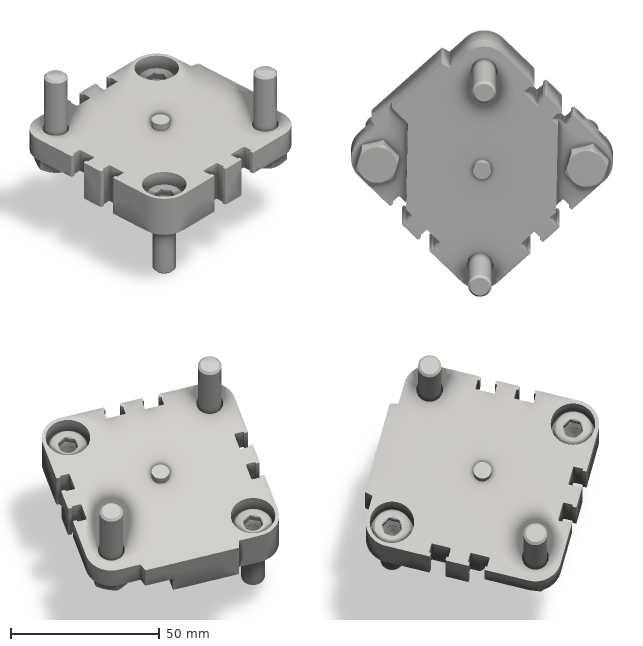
import cadquery as cq
import math

plate_width = 67.6
plate_length = 70.5
plate_thickness = 14.5
corner_radius = 8.8
tab_end_width = 33.1
tab_side_angle = 15.0
tab_fillet = 0.35

half_width = plate_width / 2
tab_height = plate_length - plate_width
tab_base_width = tab_end_width + 2 * tab_height * math.tan(math.radians(tab_side_angle))

slot_offset = 6.8
slot_mouth_width = 5.4
slot_inner_width = 6.8
slot_lip = 1.4
slot_depth = 4.8
slot_corner_radius = 0.35
slotted_edge_turns = (0, 90, -90)

pin_diameter = 6.0
pin_stand_out = 2.75

fastener_offset = half_width - corner_radius
shank_diameter = 8.0
shank_chamfer = 0.8
clearance_diameter = 9.0
head_diameter = 13.0
head_ring_diameter = 11.6

bolt_positions = [(-fastener_offset, -fastener_offset), (fastener_offset, fastener_offset)]
bolt_length = 29.95
bolt_head_height = 5.3
washer_face_height = 0.55
head_chamfer_angle = 30.0
pocket_height = 6.05

screw_positions = [(-fastener_offset, fastener_offset), (fastener_offset, -fastener_offset)]
screw_length = 25.0
screw_head_height = 5.0
screw_head_chamfer = (head_diameter - head_ring_diameter) / 2
screw_seat_height = 5.6
counterbore_diameter = 15.0
socket_width = 6.0
socket_depth = 2.5
socket_tip_diameter = 4.0
socket_tip_step = 0.2
socket_cone_angle = 45.0


def hexagon_corner_diameter(width_across_flats):
    return width_across_flats / math.cos(math.pi / 6)


def hex_prism(width_across_flats, height):
    """Hexagonal prism standing on z = 0, with two corners on the Y axis."""
    prism = cq.Workplane("XY").polygon(6, hexagon_corner_diameter(width_across_flats)).extrude(height)
    return prism.rotate((0, 0, 0), (0, 0, 1), 90)


def revolved(points):
    """Turn an (r, z) outline about the Z axis."""
    return cq.Workplane("XZ").polyline(points).close().revolve(360, (0, 0, 0), (0, 1, 0))


def cone_drop(radius):
    """Height of a socket cone with the given base radius."""
    return radius * math.tan(math.radians(socket_cone_angle))


def make_blank():
    body = cq.Workplane("XY").rect(plate_width, plate_width).extrude(plate_thickness)
    body = body.edges("|Z").fillet(corner_radius)
    tab = (
        cq.Workplane("XY")
        .polyline([
            (-tab_base_width / 2, half_width),
            (-tab_end_width / 2, half_width + tab_height),
            (tab_end_width / 2, half_width + tab_height),
            (tab_base_width / 2, half_width),
            (tab_base_width / 2, 0),
            (-tab_base_width / 2, 0),
        ])
        .close()
        .extrude(plate_thickness)
    )
    tab_side_edges = cq.selectors.BoxSelector(
        (-tab_base_width, half_width - tab_fillet, -plate_thickness),
        (tab_base_width, plate_length, 2 * plate_thickness),
    )
    return body.union(tab).edges("|Z").edges(tab_side_edges).fillet(tab_fillet)


def cut_slots(body):
    """Cut the T-slots, shaped on the -Y edge and turned to the others."""
    half_mouth = slot_mouth_width / 2
    radius = slot_corner_radius
    mouth = (
        cq.Workplane("XY")
        .moveTo(-half_mouth - radius, 0)
        .radiusArc((-half_mouth, radius), -radius)
        .lineTo(-half_mouth, slot_depth / 2)
        .lineTo(half_mouth, slot_depth / 2)
        .lineTo(half_mouth, radius)
        .radiusArc((half_mouth + radius, 0), -radius)
        .close()
        .extrude(plate_thickness)
    )
    channel = (
        cq.Workplane("XY", origin=(0, slot_lip, 0))
        .box(slot_inner_width, slot_depth - slot_lip, plate_thickness, centered=(True, False, False))
        .edges("|Z and >Y")
        .fillet(radius)
    )
    slot = mouth.union(channel)
    for turn in slotted_edge_turns:
        for x in (-slot_offset, slot_offset):
            placed = slot.translate((x, -half_width, 0))
            body = body.cut(placed.rotate((0, 0, 0), (0, 0, 1), turn))
    return body


def cut_bolt_seats(body):
    """Cut the bolt holes and the head pockets, whose slanted wall joins the floors of two slots."""
    slot_floor = half_width - slot_depth
    for x, y in bolt_positions:
        side = math.copysign(1, x)
        pocket = (
            cq.Workplane("XY")
            .polyline([
                (side * plate_length, side * slot_offset),
                (side * slot_floor, side * slot_offset),
                (side * slot_offset, side * slot_floor),
                (side * slot_offset, side * plate_length),
                (side * plate_length, side * plate_length),
            ])
            .close()
            .extrude(pocket_height)
        )
        hole = cq.Workplane("XY").center(x, y).circle(clearance_diameter / 2).extrude(plate_thickness)
        body = body.cut(pocket).cut(hole)
    return body


def cut_screw_seats(body):
    return (
        body.faces(">Z").workplane(origin=(0, 0, plate_thickness))
        .pushPoints(screw_positions)
        .cboreHole(clearance_diameter, counterbore_diameter, plate_thickness - screw_seat_height)
    )


def make_plate():
    body = cut_screw_seats(cut_bolt_seats(cut_slots(make_blank())))
    pin = (
        cq.Workplane("XY", origin=(0, 0, -pin_stand_out))
        .circle(pin_diameter / 2)
        .extrude(plate_thickness + 2 * pin_stand_out)
    )
    return body.union(pin)


def make_hex_bolt():
    """Hex bolt seated at z = 0, head below and shank pointing up."""
    corner_radius_of_head = hexagon_corner_diameter(head_diameter) / 2
    corner_overhang = corner_radius_of_head - head_diameter / 2
    chamfer_height = corner_overhang * math.tan(math.radians(head_chamfer_angle))
    head = hex_prism(head_diameter, bolt_head_height - washer_face_height)
    head = head.translate((0, 0, -bolt_head_height))
    chamfered_envelope = revolved([
        (0, -bolt_head_height),
        (head_diameter / 2, -bolt_head_height),
        (corner_radius_of_head, -bolt_head_height + chamfer_height),
        (corner_radius_of_head, 0),
        (0, 0),
    ])
    washer_face = (
        cq.Workplane("XY", origin=(0, 0, -washer_face_height))
        .circle(head_ring_diameter / 2)
        .extrude(washer_face_height)
    )
    shank = cq.Workplane("XY").circle(shank_diameter / 2).extrude(bolt_length)
    shank = shank.faces(">Z").chamfer(shank_chamfer)
    return head.intersect(chamfered_envelope).union(washer_face).union(shank)


def make_socket():
    """Socket cavity with its mouth at z = 0: countersunk hexagon, conical floor and drilled tip."""
    corner_radius_of_socket = hexagon_corner_diameter(socket_width) / 2
    tip_radius = socket_tip_diameter / 2
    tip_top = -socket_depth - cone_drop(socket_width / 2 - tip_radius)
    tip_bottom = tip_top - socket_tip_step
    hexagon = hex_prism(socket_width, plate_thickness).translate((0, 0, -plate_thickness))
    drilled_envelope = revolved([
        (0, 0),
        (corner_radius_of_socket, 0),
        (corner_radius_of_socket, -socket_depth),
        (socket_width / 2, -socket_depth),
        (tip_radius, tip_top),
        (tip_radius, tip_bottom),
        (0, tip_bottom - cone_drop(tip_radius)),
    ])
    countersink = revolved([
        (0, 0),
        (corner_radius_of_socket, 0),
        (0, -cone_drop(corner_radius_of_socket)),
    ])
    return hexagon.intersect(drilled_envelope).union(countersink)


def make_socket_screw():
    """Socket screw seated at z = 0, head above and shank pointing down."""
    head = cq.Workplane("XY").circle(head_diameter / 2).extrude(screw_head_height)
    head = head.faces(">Z").chamfer(screw_head_chamfer)
    shank = cq.Workplane("XY").circle(shank_diameter / 2).extrude(-screw_length)
    shank = shank.faces("<Z").chamfer(shank_chamfer)
    return head.union(shank).cut(make_socket().translate((0, 0, screw_head_height)))


plate = make_plate()
hex_bolts = [make_hex_bolt().translate((x, y, pocket_height)) for x, y in bolt_positions]
socket_screws = [make_socket_screw().translate((x, y, screw_seat_height)) for x, y in screw_positions]

result = cq.Compound.makeCompound([
    plate.val(),
    *[bolt.val() for bolt in hex_bolts],
    *[screw.val() for screw in socket_screws],
])